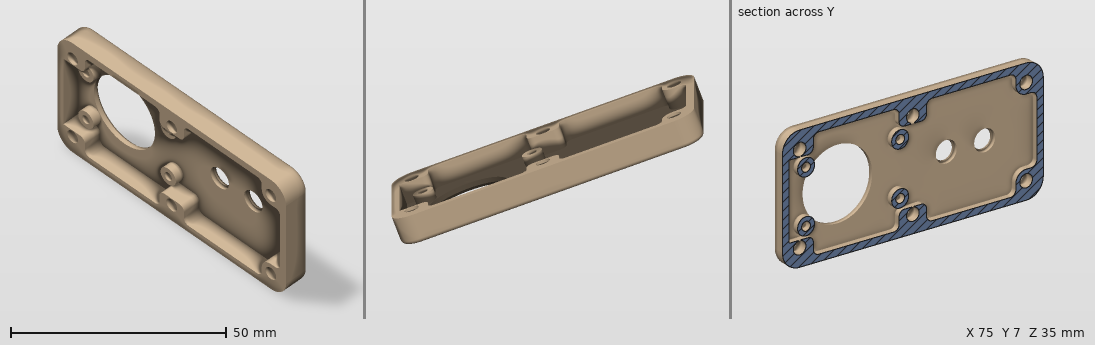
import cadquery as cq
LENGTH = 75.0
DEPTH = 7.0
HEIGHT = 35.0
CORNER_RADIUS = 5.0
EDGE_ROUND = 1.0

FLOOR = 2.0
WALL = 2.0
POCKET_RADIUS = 1.5
PAD_RADIUS = 1.6
RIGHT_PAD_RADIUS = 3.0

LEFT_PAD_LENGTH = 9.0
RIGHT_PAD_LENGTH = 8.0
MIDDLE_PAD_LENGTH = 8.0
PAD_HEIGHT = 7.0
RIGHT_PAD_HEIGHT = 8.0
SCREW_DIAMETER = 3.5
SCREW_INSET = 5.0

WINDOW_DIAMETER = 20.0
WINDOW_X = -20.5
WINDOW_CHAMFER = 0.8
BOSS_DIAMETER = 5.0
BOSS_HEIGHT = 2.5
BOSS_HOLE_DIAMETER = 2.4
BOSS_CENTRE_X = -17.15
BOSS_SPACING_X = 27.0
BOSS_SPACING_Z = 15.0

STEPPED_HOLE_XS = (10.75, 21.75)
STEPPED_HOLE_DIAMETER = 5.2
STEPPED_HOLE_COUNTERBORE = 6.0
COUNTERBORE_DEPTH = 1.0
STEPPED_HOLE_CHAMFER = 0.6

SELECTION_MARGIN = 0.1

FLOOR_Y = DEPTH - FLOOR
POCKET_LEFT = -LENGTH / 2 + WALL
POCKET_RIGHT = LENGTH / 2 - WALL
POCKET_HEIGHT = HEIGHT - 2 * WALL


def section_at(y):
    """Workplane at depth y, with local x along X, local y along Z and normal along -Y."""
    return cq.Workplane("XZ", origin=(0, y, 0))


def cylinders(points, diameter, y_start, y_end):
    """Cylinders along Y centred on the (x, z) points."""
    return section_at(y_end).pushPoints(points).circle(diameter / 2).extrude(y_end - y_start)


def both_sides(points):
    """The (x, z) points together with their mirror images below the middle."""
    return points + [(x, -z) for x, z in points]


def round_corners(body, corners, radius):
    """Fillet the edges along Y that pass through the given (x, z) corners."""
    margin = SELECTION_MARGIN
    for x, z in corners:
        lower = (x - margin, -margin, z - margin)
        upper = (x + margin, DEPTH + margin, z + margin)
        body = body.edges("|Y").edges(cq.selectors.BoxSelector(lower, upper)).fillet(radius)
    return body


def chamfer_outer_rims(body, points, diameter, size):
    """Chamfer the rims, on the outer face, of round holes at the (x, z) points."""
    margin = SELECTION_MARGIN
    reach = diameter / 2 + margin
    for x, z in points:
        lower = (x - reach, DEPTH - margin, z - reach)
        upper = (x + reach, DEPTH + margin, z + reach)
        rim = cq.selectors.BoxSelector(lower, upper, boundingbox=True)
        body = body.edges(rim).chamfer(size)
    return body


def make_plate():
    """Rounded plate with a fillet around its outer face."""
    plate = section_at(DEPTH).rect(LENGTH, HEIGHT).extrude(DEPTH)
    plate = plate.edges("|Y").fillet(CORNER_RADIUS)
    return plate.faces(">Y").edges().fillet(EDGE_ROUND)


def make_pocket():
    """Pocket volume whose outline steps around the screw pads."""
    half = POCKET_HEIGHT / 2
    left_step = -LENGTH / 2 + LEFT_PAD_LENGTH
    right_step = LENGTH / 2 - RIGHT_PAD_LENGTH
    middle_step = MIDDLE_PAD_LENGTH / 2
    pad_z = HEIGHT / 2 - PAD_HEIGHT
    right_pad_z = HEIGHT / 2 - RIGHT_PAD_HEIGHT

    upper_outline = [
        (POCKET_LEFT, pad_z),
        (left_step, pad_z),
        (left_step, half),
        (-middle_step, half),
        (-middle_step, pad_z),
        (middle_step, pad_z),
        (middle_step, half),
        (right_step, half),
        (right_step, right_pad_z),
        (POCKET_RIGHT, right_pad_z),
    ]
    lower_outline = [(x, -z) for x, z in reversed(upper_outline)]
    pocket = section_at(FLOOR_Y).polyline(upper_outline + lower_outline).close().extrude(FLOOR_Y)

    wall_corners = both_sides([
        (left_step, half),
        (-middle_step, half),
        (middle_step, half),
        (right_step, half),
        (POCKET_RIGHT, right_pad_z),
    ])
    pad_corners = both_sides([(left_step, pad_z), (-middle_step, pad_z), (middle_step, pad_z)])
    right_pad_corners = both_sides([(right_step, right_pad_z)])
    pocket = round_corners(pocket, right_pad_corners, RIGHT_PAD_RADIUS)
    pocket = round_corners(pocket, pad_corners, PAD_RADIUS)
    return round_corners(pocket, wall_corners, POCKET_RADIUS)


def add_bosses(body):
    """Bosses standing on the floor, with blind holes that end at the floor."""
    boss_xs = [BOSS_CENTRE_X + side * BOSS_SPACING_X / 2 for side in (-1, 1)]
    points = both_sides([(x, BOSS_SPACING_Z / 2) for x in boss_xs])
    boss_top = FLOOR_Y - BOSS_HEIGHT
    body = body.union(cylinders(points, BOSS_DIAMETER, boss_top, FLOOR_Y))
    return body.cut(cylinders(points, BOSS_HOLE_DIAMETER, boss_top, FLOOR_Y))


def cut_window(body):
    """Window through the floor, chamfered at its outer rim."""
    points = [(WINDOW_X, 0)]
    body = body.cut(cylinders(points, WINDOW_DIAMETER, 0, DEPTH))
    return chamfer_outer_rims(body, points, WINDOW_DIAMETER, WINDOW_CHAMFER)


def cut_screw_holes(body):
    """Through holes in the corner and middle pads."""
    outer_x = LENGTH / 2 - SCREW_INSET
    points = both_sides([(x, HEIGHT / 2 - SCREW_INSET) for x in (-outer_x, 0, outer_x)])
    return body.cut(cylinders(points, SCREW_DIAMETER, 0, DEPTH))


def cut_stepped_holes(body):
    """Holes counterbored from the pocket side and chamfered at the outer rim."""
    points = [(x, 0) for x in STEPPED_HOLE_XS]
    counterbore_end = FLOOR_Y + COUNTERBORE_DEPTH
    body = body.cut(cylinders(points, STEPPED_HOLE_DIAMETER, FLOOR_Y, DEPTH))
    body = body.cut(cylinders(points, STEPPED_HOLE_COUNTERBORE, FLOOR_Y, counterbore_end))
    return chamfer_outer_rims(body, points, STEPPED_HOLE_DIAMETER, STEPPED_HOLE_CHAMFER)


result = make_plate().cut(make_pocket())
result = add_bosses(result)
result = cut_window(result)
result = cut_screw_holes(result)
result = cut_stepped_holes(result)